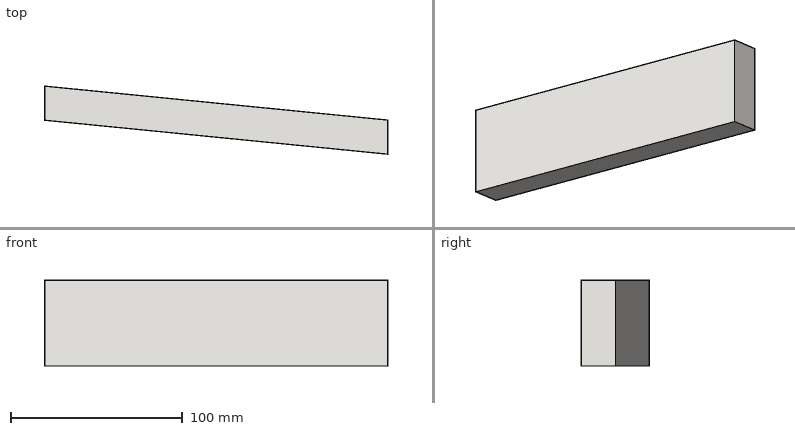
import cadquery as cq

length = 200.0
height = 50.0
depth = 39.8
end_width = 20.0
drop = depth - end_width

plan = [
    (0, 0),
    (length, -drop),
    (length, end_width - drop),
    (0, end_width),
]

result = cq.Workplane("XY").polyline(plan).close().extrude(height)